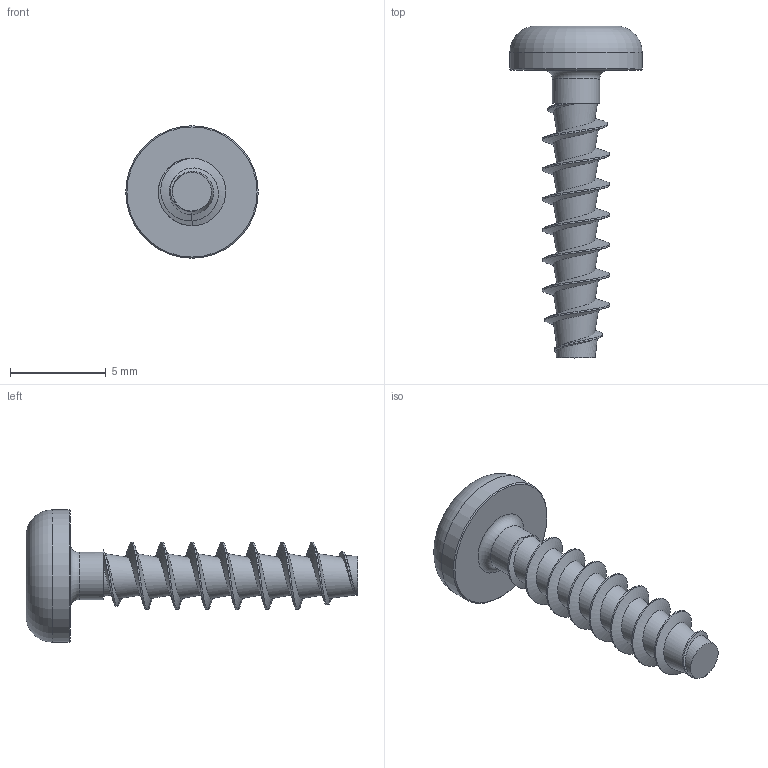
import cadquery as cq
import math


head_radius = 3.45
head_height = 2.3
dome_radius = 1.36
rim_chamfer = 0.06

shank_radius = 1.23
shank_length = 1.72
neck_fillet = 0.46

screw_length = 15.0
core_radius = 0.98
pitch = 1.57
crest_radius = 1.755
root_radius = 1.18
crest_half_width = 0.04
head_flank_slope = 0.27
tip_flank_slope = 0.31
root_step_ratio = 0.35

first_crest_depth = 1.637
first_turn = -1.5
turn_count = 11
run_in_end = 1.0
run_in_radius = 1.38
run_in_floor = 1.22
run_out_start = 7.0
run_out_end = 8.5
run_out_radius = core_radius + 0.02
points_per_turn = 24

run_in_rise = (crest_radius - run_in_radius) / run_in_end
run_out_drop = (crest_radius - run_out_radius) / (run_out_end - run_out_start)


def fading_crest_at(turn):
    """Crest radius allowed by the run-out: full at first, then fading into the core at the tip."""
    faded = crest_radius - run_out_drop * (turn - run_out_start)
    return max(run_out_radius, min(crest_radius, faded))


def crest_at(turn):
    """Crest radius: rises from the shank, stays full, then fades with the run-out."""
    rising = max(run_in_floor, run_in_radius + run_in_rise * turn)
    return min(rising, fading_crest_at(turn))


def root_at(turn):
    """Widest core radius, shrinking with the run-out so that the tip ends nearly round."""
    return min(root_radius, core_radius + root_step_ratio * (fading_crest_at(turn) - core_radius))


def helix_point(turn, radius, offset=0.0):
    """Point on the right-hand helix, shifted towards the head by the offset."""
    angle = 2 * math.pi * turn
    depth = first_crest_depth + pitch * turn
    return cq.Vector(-radius * math.sin(angle), offset - depth, radius * math.cos(angle))


def head_base_point(turn):
    """Foot of the head-side flank, where the core tapering from the previous turn ends."""
    rise = crest_at(turn) - core_radius
    return helix_point(turn, core_radius, crest_half_width + head_flank_slope * rise)


def section_points(turn):
    """One pitch of the outline: head-side flank, crest, tip-side flank and core taper."""
    crest = crest_at(turn)
    root = root_at(turn)
    tip_base = -crest_half_width - tip_flank_slope * (crest - root)
    return [
        head_base_point(turn),
        helix_point(turn, crest, crest_half_width),
        helix_point(turn, crest, -crest_half_width),
        helix_point(turn, root, tip_base),
        head_base_point(turn + 1),
    ]


def turn_samples(start):
    return [start + i / points_per_turn for i in range(points_per_turn + 1)]


def turn_faces(start):
    """Ruled faces of one full turn; the last edge is also the first edge of the next turn."""
    corner_paths = zip(*[section_points(turn) for turn in turn_samples(start)])
    edges = [cq.Edge.makeSpline(list(path)) for path in corner_paths]
    return [cq.Face.makeRuledSurface(upper, lower) for upper, lower in zip(edges, edges[1:])]


def end_faces(start):
    """Close one end of the spiral: a spiral ramp out to the axis and a flat section cap."""
    foot_edge = cq.Edge.makeSpline([head_base_point(turn) for turn in turn_samples(start)])
    axis_ends = [cq.Vector(0, head_base_point(turn).y, 0) for turn in (start, start + 1)]
    ramp = cq.Face.makeRuledSurface(foot_edge, cq.Edge.makeLine(*axis_ends))
    outline = section_points(start) + axis_ends[::-1]
    cap = cq.Face.makeFromWires(cq.Wire.makePolygon(outline, close=True))
    return [ramp, cap]


def cylinder(radius, y_top, y_bottom):
    return cq.Workplane("XZ", origin=(0, y_top, 0)).circle(radius).extrude(y_top - y_bottom)


def make_threaded_core():
    """Solid core with its thread, trimmed to the length between shank and tip."""
    last_turn = first_turn + turn_count
    faces = end_faces(first_turn) + end_faces(last_turn)
    for i in range(turn_count):
        faces += turn_faces(first_turn + i)
    spiral = cq.Workplane(cq.Solid.makeSolid(cq.Shell.makeShell(faces)).fix())
    return spiral.intersect(cylinder(head_radius, -shank_length, -screw_length))


def make_head_and_shank():
    """Head, filleted neck and shank turned about the Y axis."""
    arc_inset = 1 - math.cos(math.pi / 4)
    dome_mid = (
        head_radius - dome_radius * arc_inset,
        head_height - dome_radius * arc_inset,
    )
    neck_mid = (
        shank_radius + neck_fillet * arc_inset,
        -neck_fillet * arc_inset,
    )
    return (
        cq.Workplane("XY")
        .moveTo(0, head_height)
        .lineTo(head_radius - dome_radius, head_height)
        .threePointArc(dome_mid, (head_radius, head_height - dome_radius))
        .lineTo(head_radius, rim_chamfer)
        .lineTo(head_radius - rim_chamfer, 0)
        .lineTo(shank_radius + neck_fillet, 0)
        .threePointArc(neck_mid, (shank_radius, -neck_fillet))
        .lineTo(shank_radius, -shank_length)
        .lineTo(0, -shank_length)
        .close()
        .revolve(360, (0, 0, 0), (0, 1, 0))
    )


result = make_head_and_shank().union(make_threaded_core())